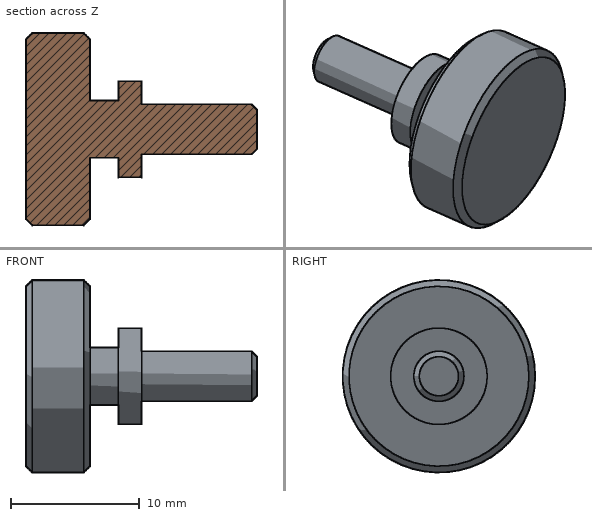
import cadquery as cq

total_length = 18.0

knob_diameter = 15.0
knob_length = 5.0
knob_chamfer = 0.5

neck_diameter = 4.5

collar_diameter = 7.5
collar_length = 1.8
collar_end = total_length / 2
collar_start = collar_end - collar_length

shank_diameter = 3.9
shank_chamfer = 0.43


def cylinder_along_x(diameter, start, end):
    """Solid cylinder on the X axis between two X positions."""
    return cq.Workplane("YZ", origin=(start, 0, 0)).circle(diameter / 2).extrude(end - start)


knob = cylinder_along_x(knob_diameter, 0, knob_length).edges().chamfer(knob_chamfer)

neck = cylinder_along_x(neck_diameter, knob_length, collar_start)
collar = cylinder_along_x(collar_diameter, collar_start, collar_end)

shank = cylinder_along_x(shank_diameter, collar_end, total_length)
shank = shank.faces(">X").edges().chamfer(shank_chamfer)

result = knob.union(neck).union(collar).union(shank)